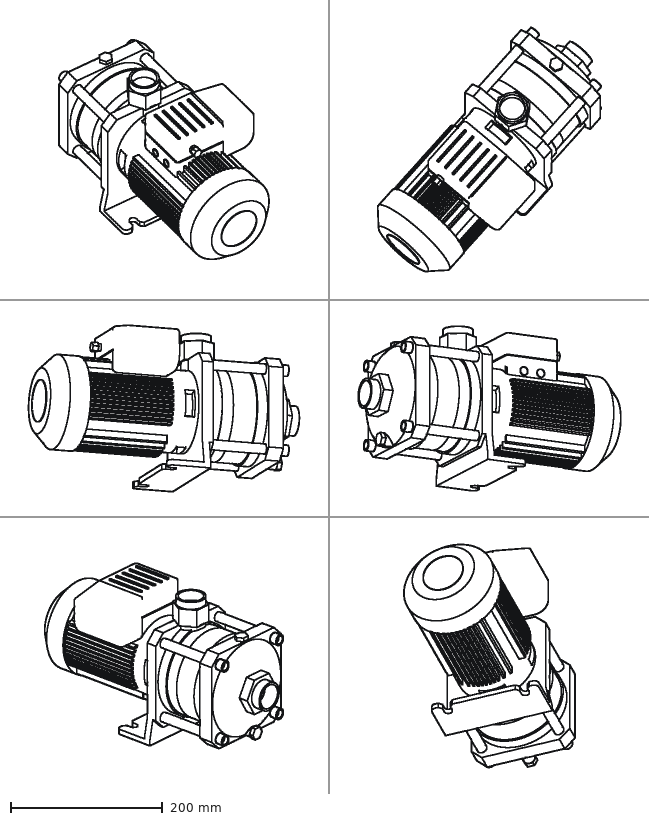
import cadquery as cq
import math


inlet_hex_start = 13.1
dome_start = 26.9
front_plate_start = 40.0
front_plate_end = 60.7
stage_start = 74.7
stage_length = 16.4
front_stage_count = 2
casing_joint = stage_start + front_stage_count * stage_length
outlet_ring_start = casing_joint + stage_length
rear_plate_start = 138.0
rear_plate_end = 153.2
window_start = 158.4
window_end = 171.4
fins_start = 190.7
cover_start = 306.9
cone_start = 335.8
cone_end = 356.4
overall_length = 357.4

plate_width = 138.0
plate_chamfer = 14.5
stage_diameter = 125.0
ring_diameter = 130.0
rod_offset = 54.0
rod_diameter = 13.45
rod_head_diameter = 15.0
rod_head_length = 10.6
socket_diameter = 11.0
socket_depth = 6.0

dome_face_radius = 43.0
dome_radius = 67.3
pipe_outer_diameter = 39.7
pipe_bore_diameter = 33.7
inlet_bore_depth = 22.0
inlet_hex_flats = 50.0

outlet_x = 137.6
outlet_hex_flats = 42.0
outlet_hex_bottom = 68.4
outlet_hex_top = 93.4
outlet_top = 103.5
outlet_bore_depth = 14.0

plug_flats = 16.0
vent_x = 48.8
vent_height = 5.2
drain_z = -60.0
drain_start = 20.4
drain_hex_end = 26.6
drain_neck_diameter = 15.7

overall_height = 194.0
foot_bottom = outlet_top - overall_height
foot_thickness = 7.4
foot_width = 150.0
foot_wall_start = 143.5
foot_end = 201.5
foot_corner_radius = 6.6
foot_slot_width = 11.0
foot_slot_end = 184.8
foot_slot_flare = 4.5

core_diameter = 110.0
collar_line = 183.2
window_count = 4
window_half_width = 18.0
window_floor_diameter = 90.0
fin_tip_diameter = 124.0
fin_thickness = 2.4
side_fin_count = 11
side_fin_pitch = 5.9
upright_fin_offsets = (0.0, 5.8, 11.4, 17.5, 24.8, 34.6)
cover_diameter = 126.0
cover_end_diameter = 87.0
end_disc_diameter = 56.0

box_end = 267.3
box_front_y = -37.0
box_rear_y = 88.2
box_bottom = 36.5
box_bottom_radius = 20.0
box_rear_height = 90.5
box_flat_top = 98.4
box_ridge_y = 39.0
box_ridge_top = 99.9
housing_joint_y = 36.8
box_edge_radius = 5.0
box_rear_radius = 3.0
box_top_radius = 1.8
lid_split = 68.3
joint_gap = 0.8
joint_depth = 1.0
knockout_diameter = 11.0
knockout_depth = 1.0
knockout_z = 48.6
knockout_xs = (216.6, 241.4)
rib_count = 5
rib_pitch = 13.2
rib_length = 56.0
rib_width = 2.7
rib_height = 1.5
gland_y = -12.0
gland_z = 81.5
gland_neck_diameter = 10.0
gland_hex_flats = 11.2
gland_hex_start = 271.3
gland_end = 279.4


def cylinder_x(start, end, diameter, y=0.0, z=0.0):
    """Round bar along X."""
    plane = cq.Workplane("YZ", origin=(start, y, z))
    return plane.circle(diameter / 2).extrude(end - start)


def cylinder_z(x, bottom, top, diameter):
    """Upright round bar above the shaft axis."""
    return cq.Workplane("XY", origin=(x, 0, bottom)).circle(diameter / 2).extrude(top - bottom)


def hexagon_x(start, end, flats, y=0.0, z=0.0):
    """Hexagon bar along X, with corners toward +Y and -Y."""
    plane = cq.Workplane("YZ", origin=(start, y, z))
    return plane.polygon(6, flats / math.cos(math.pi / 6)).extrude(end - start)


def hexagon_z(x, bottom, top, flats):
    """Upright hexagon bar with corners toward +Y and -Y."""
    plane = cq.Workplane(cq.Plane(origin=(x, 0, bottom), xDir=(0, 1, 0), normal=(0, 0, 1)))
    return plane.polygon(6, flats / math.cos(math.pi / 6)).extrude(top - bottom)


def box_between(x0, x1, y0, y1, z0, z1):
    """Block given by its limits on each axis."""
    return cq.Workplane("XY").box(x1 - x0, y1 - y0, z1 - z0, centered=False).translate((x0, y0, z0))


def end_plate(start, end):
    """Square plate with chamfered corners."""
    plate = cq.Workplane("YZ", origin=(start, 0, 0)).rect(plate_width, plate_width).extrude(end - start)
    return plate.edges("|X").chamfer(plate_chamfer)


rod_places = [(y, z) for y in (-rod_offset, rod_offset) for z in (-rod_offset, rod_offset)]


def make_dome():
    """Dome whose arc leaves the flat inlet face squarely and meets the front plate."""
    depth = front_plate_start - dome_start
    rise = dome_radius - dome_face_radius
    arc_radius = (depth**2 + rise**2) / (2 * depth)
    half_angle = math.asin(rise / arc_radius) / 2
    middle = (
        dome_start + arc_radius * (1 - math.cos(half_angle)),
        dome_face_radius + arc_radius * math.sin(half_angle),
    )
    profile = (
        cq.Workplane("XY")
        .moveTo(dome_start, 0)
        .lineTo(dome_start, dome_face_radius)
        .threePointArc(middle, (front_plate_start, dome_radius))
        .lineTo(front_plate_start, 0)
        .close()
    )
    return profile.revolve(360, (0, 0, 0), (1, 0, 0))


def make_front_casing():
    """Inlet fitting, dome, front plate, first two stages and the vent and drain plugs."""
    plate_top = plate_width / 2
    casing = end_plate(front_plate_start, front_plate_end)
    casing = casing.union(make_dome())
    casing = casing.union(hexagon_x(inlet_hex_start, dome_start, inlet_hex_flats))
    casing = casing.union(cylinder_x(0, inlet_hex_start, pipe_outer_diameter))
    casing = casing.union(cylinder_x(front_plate_end, stage_start, ring_diameter))
    for stage in range(front_stage_count):
        start = stage_start + stage * stage_length
        casing = casing.union(cylinder_x(start, start + stage_length, stage_diameter), clean=False)
    casing = casing.union(hexagon_z(vent_x, plate_top, plate_top + vent_height, plug_flats), clean=False)
    casing = casing.union(hexagon_x(drain_start, drain_hex_end, plug_flats, z=drain_z), clean=False)
    drain_neck = cylinder_x(drain_hex_end, front_plate_start, drain_neck_diameter, z=drain_z)
    casing = casing.union(drain_neck, clean=False)
    casing = casing.cut(cylinder_x(0, inlet_bore_depth, pipe_bore_diameter), clean=False)
    for y, z in rod_places:
        hole = cylinder_x(front_plate_start, front_plate_end, rod_diameter, y, z)
        casing = casing.cut(hole, clean=False)
    return casing


def make_tie_rod(y, z):
    """Rod clamped between the end plates, with a socketed round head."""
    rod = cylinder_x(front_plate_start, rear_plate_start, rod_diameter, y, z)
    head_start = front_plate_start - rod_head_length
    rod = rod.union(cylinder_x(head_start, front_plate_start, rod_head_diameter, y, z))
    return rod.cut(cylinder_x(head_start, head_start + socket_depth, socket_diameter, y, z))


def make_foot():
    """Flared wall below the rear plate and a base with two open mounting slots."""
    wall_top = plate_chamfer - plate_width / 2
    base_top = foot_bottom + foot_thickness
    half_plate = plate_width / 2
    half_foot = foot_width / 2
    wall = (
        cq.Workplane("YZ", origin=(foot_wall_start, 0, 0))
        .polyline(
            [(-half_plate, wall_top), (half_plate, wall_top), (half_foot, base_top), (-half_foot, base_top)]
        )
        .close()
        .extrude(rear_plate_end - foot_wall_start)
    )
    base = box_between(foot_wall_start, foot_end, -half_foot, half_foot, foot_bottom, base_top)
    base = base.edges("|Z and >X").fillet(foot_corner_radius)
    slot_radius = foot_slot_width / 2
    slot_center = foot_slot_end + slot_radius
    mouth = slot_radius + foot_slot_flare
    flare_start = foot_end - foot_slot_flare
    for y in (-rod_offset, rod_offset):
        slot = (
            cq.Workplane("XY", origin=(0, y, foot_bottom))
            .moveTo(slot_center, slot_radius)
            .threePointArc((foot_slot_end, 0), (slot_center, -slot_radius))
            .lineTo(flare_start, -slot_radius)
            .lineTo(foot_end, -mouth)
            .lineTo(foot_end, mouth)
            .lineTo(flare_start, slot_radius)
            .close()
            .extrude(foot_thickness)
        )
        base = base.cut(slot)
    return wall.union(base)


def make_rear_casing():
    """Last stage, outlet ring, rear plate, outlet fitting and foot."""
    outlet = cylinder_z(outlet_x, 0, outlet_hex_bottom, pipe_outer_diameter)
    outlet = outlet.cut(cylinder_x(rear_plate_end, fins_start, core_diameter))
    outlet = outlet.union(hexagon_z(outlet_x, outlet_hex_bottom, outlet_hex_top, outlet_hex_flats))
    outlet = outlet.union(cylinder_z(outlet_x, outlet_hex_top, outlet_top, pipe_outer_diameter))
    casing = cylinder_x(casing_joint, outlet_ring_start, stage_diameter)
    casing = casing.union(cylinder_x(outlet_ring_start, rear_plate_start, ring_diameter))
    casing = casing.union(end_plate(rear_plate_start, rear_plate_end))
    casing = casing.union(outlet).union(make_foot())
    return casing.cut(cylinder_z(outlet_x, outlet_top - outlet_bore_depth, outlet_top, pipe_bore_diameter))


def make_window_cutter():
    """One sector of the collar, with radial side walls and a round floor."""
    half_angle = math.asin(2 * window_half_width / core_diameter)
    reach = core_diameter
    corner = (reach * math.cos(half_angle), reach * math.sin(half_angle))
    wedge = (
        cq.Workplane("YZ", origin=(window_start, 0, 0))
        .polyline([(0, 0), corner, (corner[0], -corner[1])])
        .close()
        .extrude(window_end - window_start)
    )
    return wedge.cut(cylinder_x(window_start, window_end, window_floor_diameter))


def make_fins():
    """Horizontal fins on both sides and upright fins above and below, within the fin circle."""
    reach = fin_tip_diameter / 2
    half = fin_thickness / 2
    fins = cylinder_x(fins_start, cover_start, core_diameter)
    for index in range(side_fin_count):
        z = (index - (side_fin_count - 1) / 2) * side_fin_pitch
        fins = fins.union(box_between(fins_start, cover_start, -reach, reach, z - half, z + half))
    for y in sorted({sign * offset for sign in (-1, 1) for offset in upright_fin_offsets}):
        fins = fins.union(box_between(fins_start, cover_start, y - half, y + half, -reach, reach))
    return fins.intersect(cylinder_x(fins_start, cover_start, fin_tip_diameter))


def make_fan_cover():
    """Round cover with a conical end and a thin raised disc."""
    profile = [
        (cover_start, 0),
        (cover_start, cover_diameter / 2),
        (cone_start, cover_diameter / 2),
        (cone_end, cover_end_diameter / 2),
        (cone_end, end_disc_diameter / 2),
        (overall_length, end_disc_diameter / 2),
        (overall_length, 0),
    ]
    return cq.Workplane("XY").polyline(profile).close().revolve(360, (0, 0, 0), (1, 0, 0))


def make_motor(terminal_outline):
    """Collar with four windows, finned body with a seat for the terminal box, and fan cover."""
    collar = cylinder_x(window_start, collar_line, core_diameter)
    window = make_window_cutter()
    for index in range(window_count):
        angle = index * 360 / window_count
        collar = collar.cut(window.rotate((0, 0, 0), (1, 0, 0), angle))
    collar = collar.union(cylinder_x(rear_plate_end, window_start, core_diameter), clean=False)
    finned_body = make_fins().cut(terminal_outline)
    motor = collar.union(cylinder_x(collar_line, fins_start, core_diameter), clean=False)
    return motor.union(finned_body, clean=False).union(make_fan_cover(), clean=False)


def make_front_housing():
    """Flat-topped part of the terminal housing, rounded at its two front corners and along its top."""
    block = box_between(fins_start, box_end, box_front_y, housing_joint_y, box_bottom, box_flat_top)
    block = block.edges("|Z and <Y").fillet(box_edge_radius)
    joint_edge = cq.selectors.StringSyntaxSelector(">Y")
    rim = block.faces(">Z").edges(cq.selectors.InverseSelector(joint_edge))
    return rim.fillet(box_top_radius)


def make_rear_housing():
    """Sloping part of the terminal housing that hangs out beyond the motor, rounded all around."""
    arc_center_y = box_rear_y - box_bottom_radius
    arc_center_z = box_bottom + box_bottom_radius
    arc_reach = box_bottom_radius * math.sqrt(0.5)
    housing = (
        cq.Workplane("YZ", origin=(fins_start, 0, 0))
        .moveTo(housing_joint_y, box_bottom)
        .lineTo(arc_center_y, box_bottom)
        .threePointArc((arc_center_y + arc_reach, arc_center_z - arc_reach), (box_rear_y, arc_center_z))
        .lineTo(box_rear_y, box_rear_height)
        .lineTo(box_ridge_y, box_ridge_top)
        .lineTo(housing_joint_y, box_flat_top)
        .close()
        .extrude(box_end - fins_start)
    )
    top_corner = cq.selectors.NearestToPointSelector(
        ((fins_start + box_end) / 2, box_rear_y, box_rear_height)
    )
    housing = housing.edges(top_corner).fillet(box_rear_radius)
    housing_length = box_end - fins_start
    rear_side = cq.selectors.BoxSelector(
        (fins_start - housing_length, box_ridge_y, box_bottom + box_rear_radius),
        (box_end + housing_length, 2 * box_rear_y, 2 * box_ridge_top),
    )
    return housing.edges(rear_side).edges("#X").fillet(box_edge_radius)


def make_terminal_outline():
    """Outer shape shared by the terminal box and its lid, hollowed to sit on the motor core."""
    outline = make_front_housing().union(make_rear_housing(), clean=False)
    return outline.cut(cylinder_x(fins_start, box_end, core_diameter), clean=False)


def make_base_region():
    """Space below the lid joint that belongs to the terminal box."""
    return box_between(fins_start, box_end, box_front_y, housing_joint_y, 0, lid_split)


def make_terminal_box(outline):
    """Lower part of the terminal housing, with a stepped rim and two shallow cable knockouts."""
    box = outline.intersect(make_base_region())
    rim_outer = box_between(
        fins_start, box_end, box_front_y, housing_joint_y, lid_split - joint_gap, lid_split
    )
    rim_inner = box_between(
        fins_start + joint_depth,
        box_end - joint_depth,
        box_front_y + joint_depth,
        housing_joint_y,
        lid_split - joint_gap,
        lid_split,
    )
    box = box.cut(rim_outer.cut(rim_inner))
    for x in knockout_xs:
        knockout = (
            cq.Workplane("XZ", origin=(x, box_front_y + knockout_depth, knockout_z))
            .circle(knockout_diameter / 2)
            .extrude(knockout_depth)
        )
        box = box.cut(knockout)
    return box


def make_lid(outline):
    """Upper and overhanging part of the terminal housing, with ribs on top and a cable gland on its end."""
    lid = outline.cut(make_base_region(), clean=False)
    rib_start = (fins_start + box_end - rib_length) / 2
    for index in range(rib_count):
        y = (index - (rib_count - 1) / 2) * rib_pitch
        rib = box_between(
            rib_start,
            rib_start + rib_length,
            y - rib_width / 2,
            y + rib_width / 2,
            box_flat_top,
            box_flat_top + rib_height,
        )
        lid = lid.union(rib)
    lid = lid.union(cylinder_x(box_end, gland_hex_start, gland_neck_diameter, gland_y, gland_z))
    return lid.union(hexagon_x(gland_hex_start, gland_end, gland_hex_flats, gland_y, gland_z))


terminal_outline = make_terminal_outline()
front_casing = make_front_casing()
rear_casing = make_rear_casing()
motor = make_motor(terminal_outline)
terminal_box = make_terminal_box(terminal_outline)
lid = make_lid(terminal_outline)
tie_rods = [make_tie_rod(y, z) for y, z in rod_places]

result = cq.Compound.makeCompound(
    [
        front_casing.val(),
        rear_casing.val(),
        motor.val(),
        terminal_box.val(),
        lid.val(),
        *[rod.val() for rod in tie_rods],
    ]
)